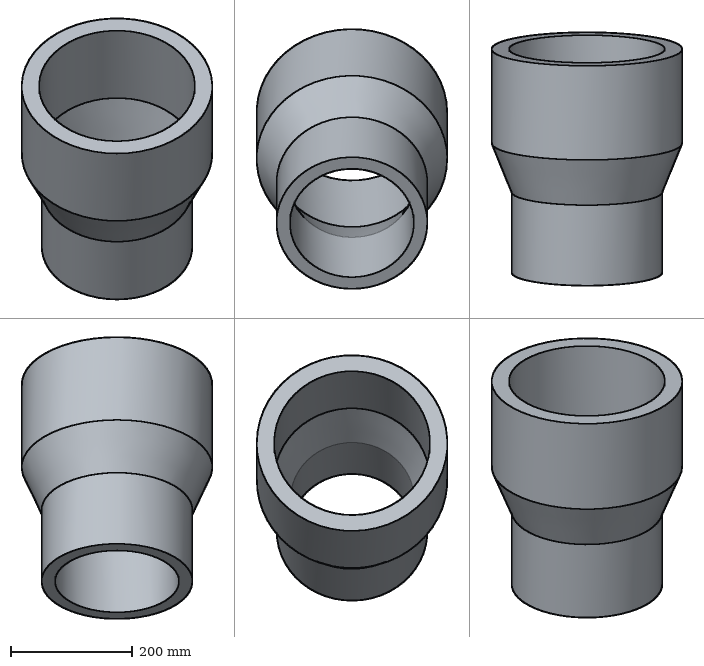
import cadquery as cq

total_height = 375.0
socket_diameter = 315.0
socket_bore = 257.5
socket_length = 158.0
spigot_diameter = 249.5
spigot_bore = 204.8
spigot_length = 135.5

cone_top = total_height - socket_length


def stepped_profile(lower_diameter, upper_diameter):
    """Revolve two cylinders joined by a cone around the Z axis."""
    lower_radius = lower_diameter / 2
    upper_radius = upper_diameter / 2
    return (
        cq.Workplane("XZ")
        .moveTo(0, 0)
        .lineTo(lower_radius, 0)
        .lineTo(lower_radius, spigot_length)
        .lineTo(upper_radius, cone_top)
        .lineTo(upper_radius, total_height)
        .lineTo(0, total_height)
        .close()
        .revolve(360, (0, 0, 0), (0, 1, 0))
    )


outer_body = stepped_profile(spigot_diameter, socket_diameter)
bore = stepped_profile(spigot_bore, socket_bore)
result = outer_body.cut(bore)